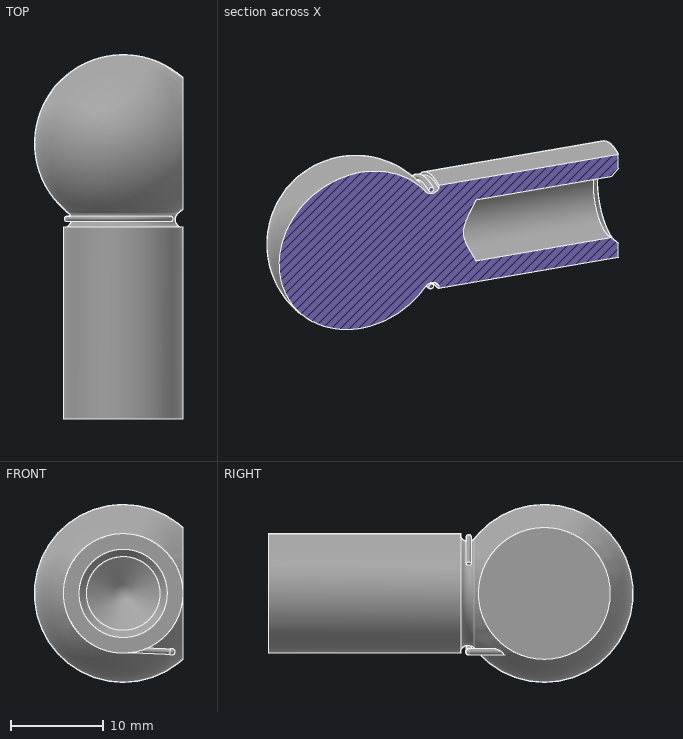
import cadquery as cq
import math


ball_radius = 9.65
overall_length = 39.58
shank_diameter = 13.0
shank_radius = shank_diameter / 2
shank_end_y = ball_radius - overall_length
flat_x = shank_radius

groove_start_y = -7.5
groove_bottom_radius = 5.65
groove_end_radius = 6.15
shank_start_y = -9.05

bore_diameter = 8.0
bore_mouth_diameter = 9.58
bore_chamfer_length = 0.8
bore_depth = 16.5
drill_tip_angle = 118.0

wire_diameter = 0.6
wire_radius = wire_diameter / 2
clip_radius = 6.1
clip_y = -8.2
clip_free_end_angle = 32.0
clip_leg_start_angle = 267.5
pin_diameter = 0.7
pin_x = 5.25
pin_end_y = 0.0


def ring_point(angle):
    """Point on the centre line of the clip ring at an angle from +X towards +Z."""
    turn = math.radians(angle)
    return cq.Vector(clip_radius * math.cos(turn), clip_y, clip_radius * math.sin(turn))


leg_start = ring_point(clip_leg_start_angle)
leg_drop_angle = math.radians(270.0 - clip_leg_start_angle)
pin_z = leg_start.z - (pin_x - leg_start.x) * math.tan(leg_drop_angle)
elbow = cq.Vector(pin_x, clip_y, pin_z)
pin_end = cq.Vector(pin_x, pin_end_y, pin_z)


def cylinder_along_y(diameter, start, length):
    """Cylinder that runs from a start point towards +Y."""
    return cq.Workplane(cq.Solid.makeCylinder(diameter / 2, length, start, cq.Vector(0, 1, 0)))


def make_bore():
    """Chamfered blind bore with a conical bottom, turned about the Y axis."""
    bore_radius = bore_diameter / 2
    bottom_y = shank_end_y + bore_depth
    tip_length = bore_radius / math.tan(math.radians(drill_tip_angle / 2))
    return (
        cq.Workplane("XY")
        .moveTo(0, shank_end_y)
        .lineTo(bore_mouth_diameter / 2, shank_end_y)
        .lineTo(bore_radius, shank_end_y + bore_chamfer_length)
        .lineTo(bore_radius, bottom_y)
        .lineTo(0, bottom_y + tip_length)
        .close()
        .revolve(360, (0, 0, 0), (0, 1, 0))
    )


def make_housing():
    """Ball with a flat side, grooved neck and bored shank."""
    groove_start_radius = math.sqrt(ball_radius**2 - groove_start_y**2)
    groove_middle_y = (groove_start_y + shank_start_y) / 2
    neck_and_shank = (
        cq.Workplane("XY")
        .moveTo(0, groove_start_y)
        .lineTo(groove_start_radius, groove_start_y)
        .threePointArc((groove_bottom_radius, groove_middle_y), (groove_end_radius, shank_start_y))
        .lineTo(shank_radius, shank_start_y)
        .lineTo(shank_radius, shank_end_y)
        .lineTo(0, shank_end_y)
        .close()
        .revolve(360, (0, 0, 0), (0, 1, 0))
    )
    beyond_flat = cq.Workplane("XY").box(
        ball_radius, 2 * ball_radius, 2 * ball_radius, centered=(False, True, True)
    ).translate((flat_x, 0, 0))
    ball = cq.Workplane("XY").sphere(ball_radius).cut(beyond_flat)
    pin_hole = cylinder_along_y(pin_diameter, elbow, pin_end.y - elbow.y)
    return ball.union(neck_and_shank).cut(make_bore()).cut(pin_hole)


def make_clip():
    """Wire bent round the neck, with a straight leg and a thicker pin that enters the ball."""
    ring_start = ring_point(clip_free_end_angle)
    ring_middle = ring_point((clip_free_end_angle + clip_leg_start_angle) / 2)
    ring_path = cq.Wire.assembleEdges([
        cq.Edge.makeThreePointArc(ring_start, ring_middle, leg_start),
        cq.Edge.makeLine(leg_start, elbow),
    ])
    start_plane = cq.Plane(origin=ring_start, normal=ring_path.tangentAt(0))
    ring_and_leg = cq.Workplane(start_plane).circle(wire_radius).sweep(cq.Workplane(ring_path))
    elbow_ball = cq.Workplane("XY").sphere(pin_diameter / 2).translate(elbow)
    pin = cylinder_along_y(pin_diameter, elbow, pin_end.y - elbow.y)
    return ring_and_leg.union(elbow_ball).union(pin)


housing = make_housing()
clip = make_clip()

result = cq.Compound.makeCompound([housing.solids().val(), clip.solids().val()])